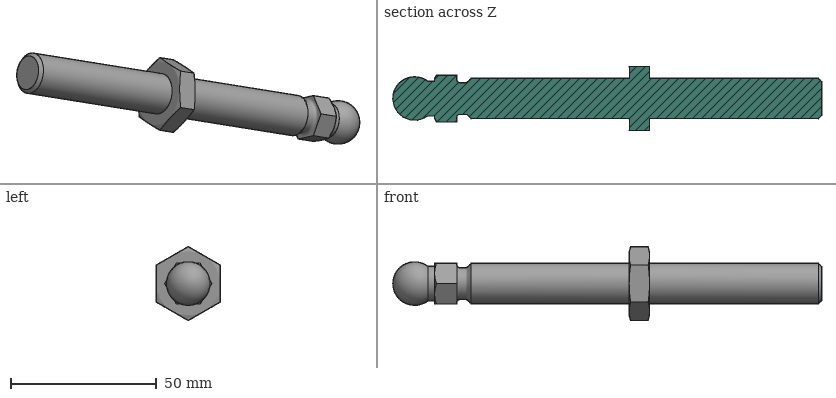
import cadquery as cq
import math

length = 147.0
ball_diameter = 15.0
neck_diameter = 12.0
shaft_diameter = 14.0
end_chamfer = 1.2

wrench_flats = 14.0
wrench_start = 14.3
wrench_end = 22.0
wrench_face_diameter = 13.8
wrench_chamfer_angle = 30.0

groove_diameter = 11.0
groove_fillet = 1.0
groove_cone_angle = 45.0
shaft_start = 26.9

nut_flats = 22.0
nut_start = 81.0
nut_thickness = 7.0
nut_face_diameter = 21.8
nut_chamfer_angle = 15.0


def stud_body():
    """Ball, neck, groove and shaft, revolved about the X axis."""
    ball_radius = ball_diameter / 2
    neck_radius = neck_diameter / 2
    groove_radius = groove_diameter / 2
    shaft_radius = shaft_diameter / 2
    neck_start = ball_radius + math.sqrt(ball_radius**2 - neck_radius**2)
    cone_angle = math.radians(groove_cone_angle)
    cone_start_radius = groove_radius + groove_fillet * (1 - math.cos(cone_angle))
    cone_start = shaft_start - (shaft_radius - cone_start_radius) / math.tan(cone_angle)
    fillet_start = cone_start - groove_fillet * math.sin(cone_angle)
    profile = (
        cq.Workplane("XY")
        .moveTo(0, 0)
        .threePointArc((ball_radius, ball_radius), (neck_start, neck_radius))
        .lineTo(wrench_end, neck_radius)
        .lineTo(wrench_end, groove_radius + groove_fillet)
        .radiusArc((wrench_end + groove_fillet, groove_radius), -groove_fillet)
        .lineTo(fillet_start, groove_radius)
        .radiusArc((cone_start, cone_start_radius), -groove_fillet)
        .lineTo(shaft_start, shaft_radius)
        .lineTo(length - end_chamfer, shaft_radius)
        .lineTo(length, shaft_radius - end_chamfer)
        .lineTo(length, 0)
        .close()
    )
    return profile.revolve(360, (0, 0, 0), (1, 0, 0))


def hexagonal_prism(thickness, flats, rotation):
    """Hexagonal prism along X, starting at x = 0."""
    corner_diameter = 2 * flats / math.sqrt(3)
    prism = cq.Workplane("YZ").polygon(6, corner_diameter).extrude(thickness)
    return prism.rotate((0, 0, 0), (1, 0, 0), rotation)


def turned_blank(thickness, flats, face_diameter, chamfer_angle):
    """Disc around a hexagon whose front edge, at x = 0, is turned to a cone."""
    corner_radius = flats / math.sqrt(3)
    face_radius = face_diameter / 2
    setback = (corner_radius - face_radius) * math.tan(math.radians(chamfer_angle))
    profile = (
        cq.Workplane("XY")
        .lineTo(0, face_radius)
        .lineTo(setback, corner_radius)
        .lineTo(thickness, corner_radius)
        .lineTo(thickness, 0)
        .close()
    )
    return profile.revolve(360, (0, 0, 0), (1, 0, 0))


def wrench_hexagon():
    """Hexagon with corners on Y, chamfered on the ball side only."""
    thickness = wrench_end - wrench_start
    blank = turned_blank(thickness, wrench_flats, wrench_face_diameter, wrench_chamfer_angle)
    prism = hexagonal_prism(thickness, wrench_flats, 0)
    return prism.intersect(blank).translate((wrench_start, 0, 0))


def lock_nut():
    """Hexagon with corners on Z, chamfered on both faces."""
    front_blank = turned_blank(nut_thickness, nut_flats, nut_face_diameter, nut_chamfer_angle)
    back_blank = front_blank.mirror("YZ").translate((nut_thickness, 0, 0))
    prism = hexagonal_prism(nut_thickness, nut_flats, 90)
    return prism.intersect(front_blank).intersect(back_blank).translate((nut_start, 0, 0))


result = stud_body().union(wrench_hexagon()).union(lock_nut())